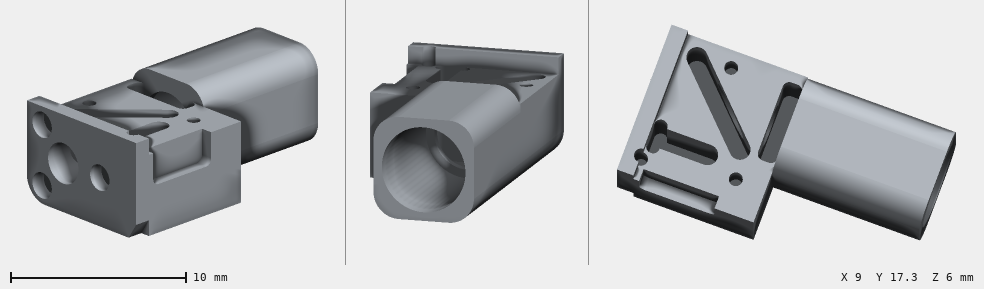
import cadquery as cq
import math

length = 17.3
width = 9.0
height = 6.0
corner_radius = 1.5

block_length = 8.3
lip_thickness = 1.0
deck_height = height - 1.0
barrel_width = height

axis_x = barrel_width / 2
axis_z = height / 2
bore_diameter = 2.49
barrel_mouth_diameter = 4.0
barrel_mouth_depth = 0.5
barrel_bore_diameter = 5.0
front_hole_diameter = 1.6
front_hole_depth = 0.9
left_hole_x = 1.26
left_hole_offset = 1.87
right_hole_x = 2 * axis_x

chamfer_width = 0.62
chamfer_height = 0.97

cutter_radius = 0.4
slot_width = 1.21
slot_depth = 4.0
diagonal_start = (1.1, 1.95)
diagonal_end = (5.28, 6.1)
straight_slot_x = 6.21
straight_slot_end = 5.09
cross_slot_length = 2.05
rear_pocket_left = 0.6
rear_pocket_length = 4.83
rear_pocket_width = 1.18
rear_pocket_depth = slot_depth
pin_holes = [(6.99, 6.49), (1.0, 4.0), (7.75, lip_thickness)]
pin_hole_depth = 2.0

notch_start = 1.35
notch_end = 5.93
notch_depth = 0.75
notch_height = 2.0


def box(x, y, z, size_x, size_y, size_z):
    """Box placed by its lowest corner."""
    return cq.Workplane("XY").box(size_x, size_y, size_z, centered=False).translate((x, y, z))


def deck_slot(start, end, slot_size, depth):
    """Round-ended slot cutter, from an end centre to the other, sunk from the deck."""
    run_x = end[0] - start[0]
    run_y = end[1] - start[1]
    return (
        cq.Workplane("XY")
        .slot2D(math.hypot(run_x, run_y) + slot_size, slot_size)
        .extrude(height)
        .rotate((0, 0, 0), (0, 0, 1), math.degrees(math.atan2(run_y, run_x)))
        .translate(((start[0] + end[0]) / 2, (start[1] + end[1]) / 2, deck_height - depth))
    )


def front_hole(x, z, diameter, depth):
    """Cylinder running back from the front face."""
    return cq.Workplane("XZ").center(x, z).circle(diameter / 2).extrude(-depth)


barrel = box(0, 0, 0, barrel_width, length, height).edges("|Y").fillet(corner_radius)
barrel = barrel.intersect(box(0, block_length, 0, barrel_width, length - block_length, height))
block = box(0, 0, 0, width, block_length, height).edges("|Y and <X and <Z").fillet(corner_radius)
block = block.cut(box(0, lip_thickness, deck_height, width, length, height))
result = block.union(barrel)

result = result.cut(front_hole(axis_x, axis_z, bore_diameter, length))
barrel_mouth = front_hole(axis_x, axis_z, barrel_mouth_diameter, barrel_mouth_depth)
result = result.cut(barrel_mouth.translate((0, block_length, 0)))
barrel_bore_start = block_length + barrel_mouth_depth
barrel_bore = front_hole(axis_x, axis_z, barrel_bore_diameter, length - barrel_bore_start)
result = result.cut(barrel_bore.translate((0, barrel_bore_start, 0)))
blind_holes = [
    (left_hole_x, axis_z - left_hole_offset),
    (left_hole_x, axis_z + left_hole_offset),
    (right_hole_x, axis_z),
]
for hole_x, hole_z in blind_holes:
    result = result.cut(front_hole(hole_x, hole_z, front_hole_diameter, front_hole_depth))

chamfer = (
    cq.Workplane("XZ")
    .polyline([(width - chamfer_width, 0), (width, 0), (width, chamfer_height)])
    .close()
    .extrude(-lip_thickness)
)
result = result.cut(chamfer)

result = result.cut(deck_slot(diagonal_start, diagonal_end, slot_width, slot_depth))
cross_slot_y = lip_thickness + cutter_radius
cross_slot_reach = cross_slot_length / 2 - cutter_radius
straight_slot = deck_slot(
    (straight_slot_x, cross_slot_y + slot_width / 2 - cutter_radius),
    (straight_slot_x, straight_slot_end - slot_width / 2),
    slot_width,
    slot_depth,
)
cross_slot = deck_slot(
    (straight_slot_x - cross_slot_reach, cross_slot_y),
    (straight_slot_x + cross_slot_reach, cross_slot_y),
    2 * cutter_radius,
    slot_depth,
)
result = result.cut(straight_slot).cut(cross_slot)

rear_pocket = box(
    rear_pocket_left,
    block_length - rear_pocket_width,
    deck_height - rear_pocket_depth,
    rear_pocket_length,
    rear_pocket_width,
    rear_pocket_depth,
)
result = result.cut(rear_pocket.edges("|Z").fillet(cutter_radius))

for hole_x, hole_y in pin_holes:
    pin_hole = cq.Workplane("XY").center(hole_x, hole_y).circle(cutter_radius).extrude(height)
    result = result.cut(pin_hole.translate((0, 0, deck_height - pin_hole_depth)))

notch = box(
    width - notch_depth,
    notch_start,
    deck_height - notch_height,
    notch_depth,
    notch_end - notch_start,
    notch_height,
)
result = result.cut(notch.edges("|X and <Z").fillet(cutter_radius))